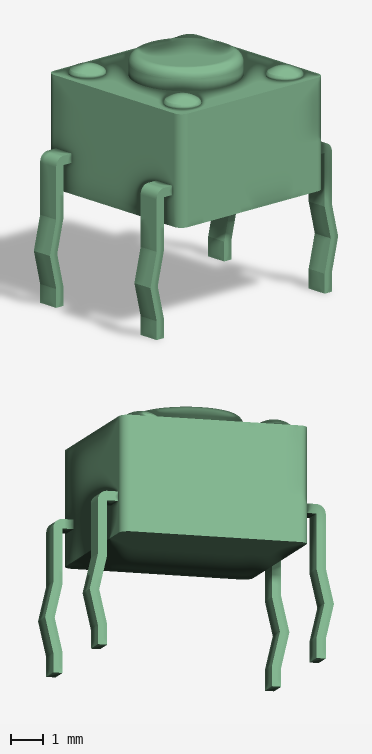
import cadquery as cq
import math

housing_side = 5.99
housing_base_z = 3.49
housing_top_z = 7.115
corner_radius = 0.3

button_top_z = 7.81
button_radius = 1.76
button_edge_radius = 0.3

rivet_spacing = 4.26
rivet_radius = 0.58
rivet_height = 0.305
rivet_rim_height = 0.09
rivet_edge_radius = 0.125

leg_thickness = 0.3
leg_width = 0.72
leg_spacing = 4.5
leg_outer_y = 3.64
knee_span = 7.8
knee_outer_y = knee_span / 2
leg_top_z = 4.79
kink_top_z = 2.81
knee_z = 1.71
kink_bottom_z = 0.6


def build_housing():
    height = housing_top_z - housing_base_z
    base = cq.Workplane("XY", origin=(0, 0, housing_base_z))
    block = base.rect(housing_side, housing_side).extrude(height)
    return block.edges("|Z").fillet(corner_radius)


def build_button():
    height = button_top_z - housing_top_z
    button = cq.Workplane("XY", origin=(0, 0, housing_top_z)).circle(button_radius).extrude(height)
    return button.faces(">Z").edges().fillet(button_edge_radius)


def build_rivet():
    """Spherical cap on a short cylindrical rim, standing on the housing at the origin."""
    cap_height = rivet_height - rivet_rim_height
    sphere_radius = (rivet_radius**2 + cap_height**2) / (2 * cap_height)
    half_angle = math.asin(rivet_radius / sphere_radius) / 2
    sphere_center_z = rivet_height - sphere_radius
    arc_middle = (
        sphere_radius * math.sin(half_angle),
        sphere_center_z + sphere_radius * math.cos(half_angle),
    )
    rivet = (
        cq.Workplane("XZ")
        .lineTo(rivet_radius, 0)
        .lineTo(rivet_radius, rivet_rim_height)
        .threePointArc(arc_middle, (0, rivet_height))
        .close()
        .revolve(360, (0, 0, 0), (0, 1, 0))
    )
    return rivet.faces(">Z").edges("<Z").fillet(rivet_edge_radius)


def build_leg():
    """Leg on the +Y side, centred on x = 0; the kinked strip keeps a constant thickness."""
    bulge = knee_outer_y - leg_outer_y
    upper_angle = math.atan2(bulge, kink_top_z - knee_z)
    lower_angle = math.atan2(bulge, knee_z - kink_bottom_z)
    leg_inner_y = leg_outer_y - leg_thickness
    knee_inner_y = knee_outer_y - leg_thickness / math.cos(upper_angle)
    inner_kink_top_z = kink_top_z - leg_thickness * math.tan(upper_angle / 2)
    inner_kink_bottom_z = kink_bottom_z + leg_thickness * math.tan(lower_angle / 2)
    shoulder_z = leg_top_z - leg_thickness
    bend_radius = leg_thickness
    bend_middle = (
        leg_outer_y - bend_radius * (1 - math.sqrt(0.5)),
        leg_top_z - bend_radius * (1 - math.sqrt(0.5)),
    )
    root_y = housing_side / 2 - leg_thickness
    return (
        cq.Workplane("YZ", origin=(-leg_width / 2, 0, 0))
        .moveTo(root_y, leg_top_z)
        .lineTo(leg_outer_y - bend_radius, leg_top_z)
        .threePointArc(bend_middle, (leg_outer_y, leg_top_z - bend_radius))
        .lineTo(leg_outer_y, kink_top_z)
        .lineTo(knee_outer_y, knee_z)
        .lineTo(leg_outer_y, kink_bottom_z)
        .lineTo(leg_outer_y, 0)
        .lineTo(leg_inner_y, 0)
        .lineTo(leg_inner_y, inner_kink_bottom_z)
        .lineTo(knee_inner_y, knee_z)
        .lineTo(leg_inner_y, inner_kink_top_z)
        .lineTo(leg_inner_y, shoulder_z)
        .lineTo(root_y, shoulder_z)
        .close()
        .extrude(leg_width)
    )


result = build_housing().union(build_button())

rivet = build_rivet()
rear_leg = build_leg()
front_leg = rear_leg.mirror("XZ")
for side_x in (-1, 1):
    for side_y in (-1, 1):
        rivet_place = (side_x * rivet_spacing / 2, side_y * rivet_spacing / 2, housing_top_z)
        result = result.union(rivet.translate(rivet_place))
    for leg in (front_leg, rear_leg):
        result = result.union(leg.translate((side_x * leg_spacing / 2, 0, 0)))